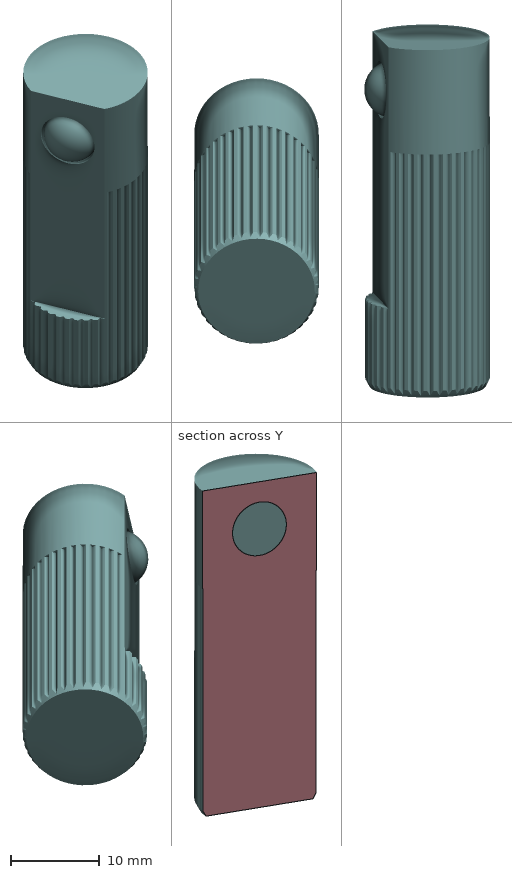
import cadquery as cq
import math

pin_length = 40.0
pin_radius = 7.0

groove_count = 40
groove_top = 28.0
groove_depth = 0.3
groove_width = 0.7

bevel_inset = 0.45
bevel_height = 0.85

flat_bottom = 10.0
flat_y = -5.4

ball_radius = 3.2
ball_z = 34.2
ball_tip_y = -7.2
hole_radius = 3.25

ball_y = ball_tip_y + ball_radius
hole_floor_y = ball_y + ball_radius


def groove_cutter():
    """V-shaped prism along Z, its point aimed at the pin axis from the -Y side."""
    half_angle = math.asin(groove_width / 2 / pin_radius)
    mouth_y = -pin_radius * math.cos(half_angle)
    tip_y = -(pin_radius - groove_depth)
    outer_y = mouth_y - groove_depth
    outer_half_width = groove_width / 2 * (tip_y - outer_y) / (tip_y - mouth_y)
    return (
        cq.Workplane("XY")
        .polyline([(0, tip_y), (-outer_half_width, outer_y), (outer_half_width, outer_y)])
        .close()
        .extrude(groove_top)
    )


def pin_blank():
    """Round bar with a bevelled bottom edge, turned about Z."""
    return (
        cq.Workplane("XZ")
        .polyline([
            (0, 0),
            (pin_radius - bevel_inset, 0),
            (pin_radius, bevel_height),
            (pin_radius, pin_length),
            (0, pin_length),
        ])
        .close()
        .revolve(360, (0, 0, 0), (0, 1, 0))
    )


def flat_cutter():
    """Block that removes the -Y side above the bottom of the flat."""
    return cq.Workplane("XY").box(
        2 * pin_radius, pin_radius, pin_length - flat_bottom, centered=(True, False, False)
    ).translate((0, flat_y - pin_radius, flat_bottom))


def ball_hole():
    """Flat-bottomed hole that runs in along +Y from the flat."""
    return (
        cq.Workplane("XZ", origin=(0, hole_floor_y, 0))
        .center(0, ball_z)
        .circle(hole_radius)
        .extrude(hole_floor_y - flat_y)
    )


def make_pin():
    pin = pin_blank()
    cutter = groove_cutter()
    for index in range(groove_count):
        pin = pin.cut(cutter.rotate((0, 0, 0), (0, 0, 1), index * 360 / groove_count))
    return pin.cut(flat_cutter()).cut(ball_hole())


def make_ball():
    return cq.Workplane("XY").sphere(ball_radius).translate((0, ball_y, ball_z))


pin = make_pin()
ball = make_ball()

result = cq.Compound.makeCompound([pin.val(), ball.val()])